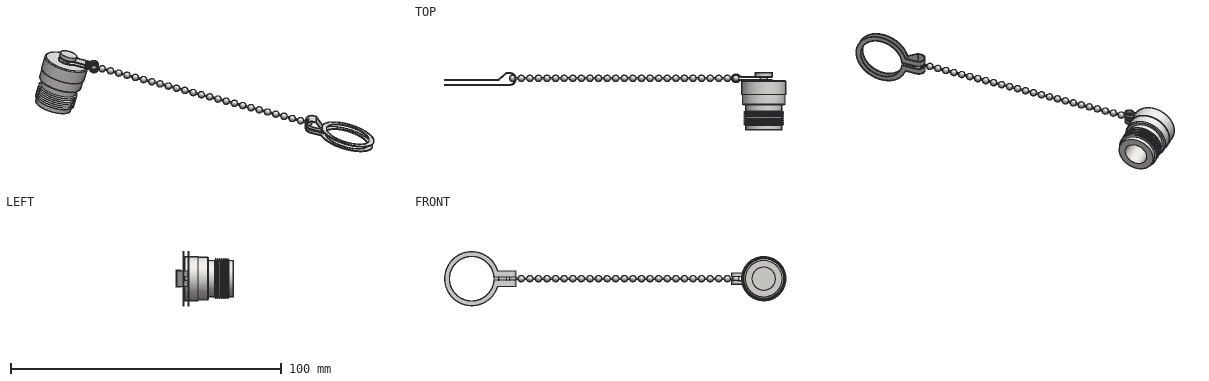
import cadquery as cq
import math


sheet = 0.4

bead_count = 27
bead_radius = 1.2
wire_radius = 0.32
first_bead_x = 15.1
last_bead_x = 97.5
bead_pitch = (last_bead_x - first_bead_x) / (bead_count - 1)

ring_outer_diameter = 20.0
ring_outer_radius = ring_outer_diameter / 2
ring_inner_radius = 8.2
lug_half_width = 2.9
lug_end_x = 16.4
clip_slot_width = 1.1
front_plate_y = -2.6
rear_plate_y = -0.8
fold_outer_radius = 2.4
fold_inner_radius = fold_outer_radius - sheet
fold_x = lug_end_x - fold_outer_radius
fold_y = front_plate_y + fold_outer_radius
fold_top_y = fold_y + fold_outer_radius
ramp_start_x = 9.8
ramp_end_x = 12.9

coupling_half_width = 2.1
loop_outer_radius = 1.6
loop_inner_radius = loop_outer_radius - sheet
flare_radius = 1.3
arm_inner_y = 0.4
arm_outer_y = arm_inner_y + sheet
coupling_slot_width = 1.5
coupling_slot_end_x = 100.8
eye_radius = 3.2

overall_length = 126.0
cap_total_length = 21.2
head_y = fold_top_y
open_end_y = head_y - cap_total_length
head_radius = 3.2
neck_radius = 1.4
flange_radius = 8.2
cap_x = overall_length - ring_outer_radius - flange_radius
flange_end_radius = 8.0
flange_top_y = -arm_outer_y
flange_step_y = -5.9
flange_end_y = -9.8
flange_chamfer = 0.4
barrel_diameter = 13.5
barrel_radius = barrel_diameter / 2
thread_diameter = 14.7
thread_radius = thread_diameter / 2
thread_start_y = -12.1
thread_pitch = 0.8
thread_count = 7
bore_radius = 4.3
bore_depth = 11.3


def build_chain():
    """Beads joined by one thin wire along X."""
    wire_length = last_bead_x - first_bead_x
    chain = cq.Workplane("YZ", origin=(first_bead_x, 0, 0)).circle(wire_radius).extrude(wire_length)
    for index in range(bead_count):
        bead_x = first_bead_x + index * bead_pitch
        chain = chain.union(cq.Workplane("XY", origin=(bead_x, 0, 0)).sphere(bead_radius))
    return chain


def clip_plate(front_y, lug_length):
    """Flat ring with a straight lug toward +X, from front_y back by one sheet thickness."""
    plane = cq.Workplane("XZ", origin=(0, front_y, 0))
    ring = plane.circle(ring_outer_radius).extrude(-sheet)
    lug = plane.center(lug_length / 2, 0).rect(lug_length, 2 * lug_half_width).extrude(-sheet)
    opening = plane.circle(ring_inner_radius).extrude(-sheet)
    return ring.union(lug).cut(opening)


def clip_fold():
    """Half-round fold joining the front lug to the rear lug by way of a sloping ramp."""
    inner_top_y = fold_top_y - sheet
    return (
        cq.Workplane("XY", origin=(0, 0, -lug_half_width))
        .moveTo(fold_x, front_plate_y)
        .threePointArc((lug_end_x, fold_y), (fold_x, fold_top_y))
        .lineTo(ramp_end_x, fold_top_y)
        .lineTo(ramp_start_x, rear_plate_y + sheet)
        .lineTo(ramp_start_x, rear_plate_y)
        .lineTo(ramp_end_x, inner_top_y)
        .lineTo(fold_x, inner_top_y)
        .threePointArc((fold_x + fold_inner_radius, fold_y), (fold_x, front_plate_y + sheet))
        .close()
        .extrude(2 * lug_half_width)
    )


def build_clip():
    """Folded ring clip whose front plate and fold are slotted to let the chain in."""
    clip = clip_plate(front_plate_y, fold_x).union(clip_fold())
    slot_start = cq.Vector(0, front_plate_y, -clip_slot_width / 2)
    front_slot = cq.Workplane("XY").box(
        lug_end_x, sheet, clip_slot_width, centered=False).translate(slot_start)
    fold_slot = cq.Workplane("XY").box(
        lug_end_x - fold_x, bead_radius - front_plate_y, clip_slot_width, centered=False
    ).translate(slot_start + cq.Vector(fold_x, 0, 0))
    bead_seat = cq.Workplane("XY", origin=(first_bead_x, 0, 0)).sphere(bead_radius)
    clip = clip.cut(front_slot).cut(fold_slot).cut(bead_seat)
    return clip.union(clip_plate(rear_plate_y, ramp_start_x))


def keyhole(loop_radius, arm_y, bend_radius):
    """Loop round the last bead that flares into a straight neck ending at the cap axis."""
    bend_y = arm_y + bend_radius
    bend_x = math.sqrt((loop_radius + bend_radius) ** 2 - bend_y ** 2)
    loop_share = loop_radius / (loop_radius + bend_radius)
    tangent_x = loop_share * bend_x
    tangent_y = loop_share * bend_y
    half_angle = math.atan2(bend_x, bend_y) / 2
    middle_x = bend_x - bend_radius * math.sin(half_angle)
    middle_y = bend_y - bend_radius * math.cos(half_angle)
    neck_end_x = cap_x - last_bead_x
    return (
        cq.Workplane("XY", origin=(last_bead_x, 0, -coupling_half_width))
        .moveTo(neck_end_x, arm_y)
        .lineTo(bend_x, arm_y)
        .threePointArc((middle_x, middle_y), (tangent_x, tangent_y))
        .threePointArc((-loop_radius, 0), (tangent_x, -tangent_y))
        .threePointArc((middle_x, -middle_y), (bend_x, -arm_y))
        .lineTo(neck_end_x, -arm_y)
        .close()
        .extrude(2 * coupling_half_width)
    )


def eye_disc(radius, half_height):
    """Disc on the cap axis, reaching half_height to each side of Y = 0."""
    return cq.Workplane("XZ", origin=(cap_x, half_height, 0)).circle(radius).extrude(2 * half_height)


def build_coupling():
    """Strap folded round the last bead, with an eye on each arm round the rivet neck."""
    outer = keyhole(loop_outer_radius, arm_outer_y, flare_radius)
    inner = keyhole(loop_inner_radius, arm_inner_y, flare_radius + sheet)
    eyes = eye_disc(eye_radius, arm_outer_y)
    gap = eye_disc(eye_radius, arm_inner_y)
    neck_hole = eye_disc(neck_radius, arm_outer_y)
    slot_start_x = last_bead_x - loop_outer_radius
    slot_length = coupling_slot_end_x - slot_start_x
    slot = cq.Workplane("XY", origin=(slot_start_x + slot_length / 2, 0, 0)).box(
        slot_length, 2 * loop_outer_radius, coupling_slot_width)
    return outer.union(eyes).cut(inner).cut(gap).cut(neck_hole).cut(slot)


def build_cap():
    """Turned cap: rivet, stepped flange, threaded barrel and blind bore in one profile."""
    profile = (
        cq.Workplane("XY", origin=(cap_x, 0, 0))
        .moveTo(0, head_y)
        .lineTo(head_radius, head_y)
        .lineTo(head_radius, arm_outer_y)
        .lineTo(neck_radius, arm_outer_y)
        .lineTo(neck_radius, flange_top_y)
        .lineTo(flange_radius - flange_chamfer, flange_top_y)
        .lineTo(flange_radius, flange_top_y - flange_chamfer)
        .lineTo(flange_radius, flange_step_y)
        .lineTo(flange_end_radius, flange_step_y)
        .lineTo(flange_end_radius, flange_end_y + flange_chamfer)
        .lineTo(flange_end_radius - flange_chamfer, flange_end_y)
        .lineTo(barrel_radius, flange_end_y)
        .lineTo(barrel_radius, thread_start_y)
    )
    for index in range(thread_count):
        ridge_y = thread_start_y - index * thread_pitch
        profile = profile.lineTo(thread_radius, ridge_y - thread_pitch / 2)
        profile = profile.lineTo(barrel_radius, ridge_y - thread_pitch)
    profile = (
        profile.lineTo(barrel_radius, open_end_y)
        .lineTo(bore_radius, open_end_y)
        .lineTo(bore_radius, open_end_y + bore_depth)
        .lineTo(0, open_end_y + bore_depth)
        .close()
    )
    return profile.revolve(360, (0, 0, 0), (0, 1, 0))


chain = build_chain()
clip = build_clip()
coupling = build_coupling()
cap = build_cap()

result = cq.Compound.makeCompound([chain.val(), clip.val(), coupling.val(), cap.val()])